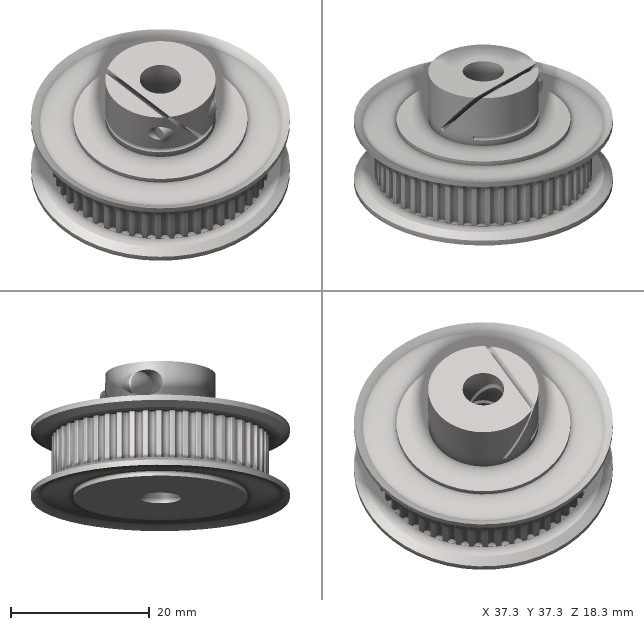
import cadquery as cq
import math

overall_height = 18.3
bore_radius = 3.0

flange_radius = 18.65
flange_flat_radius = 17.35
flange_height = 1.5
flange_sheet = 0.8
boss_radius = 12.55

belt_width = 7.45
tooth_count = 50
track_radius = 15.65
groove_depth = 0.75
groove_radius = 0.55
tooth_tip_fillet = 0.15
ledge_height = 0.07

hub_radius = 7.95

jaw_slot_bottom = 11.38
jaw_slot_height = 0.67
jaw_slot_angle = 30.0

split_width = 0.6
split_tilt = 50.0
split_top_y = -4.6
split_end_y = 1.1

screw_x = 5.8
screw_z = 15.18
screw_radius = 1.23
screw_tip_y = -5.45
screw_chamfer = 0.2
head_radius = 1.9
head_height = 2 * screw_radius
head_top_y = 4.05

pulley_height = 2 * flange_height + belt_width
hub_height = overall_height - pulley_height


def cylinder(radius, bottom, height):
    return cq.Workplane("XY").workplane(offset=bottom).circle(radius).extrude(height)


def make_flange():
    """Upper flange: a flat disc whose rim flares upward."""
    bottom = pulley_height - flange_height
    profile = [
        (0, bottom),
        (flange_flat_radius, bottom),
        (flange_radius, pulley_height - flange_sheet),
        (flange_radius, pulley_height),
        (flange_flat_radius, bottom + flange_sheet),
        (0, bottom + flange_sheet),
    ]
    return cq.Workplane("XZ").polyline(profile).close().revolve(360, (0, 0, 0), (0, 1, 0))


def make_grooves():
    """Round-bottomed belt grooves with rounded tooth tips, one centred on -Y."""
    mouth_half = groove_radius + tooth_tip_fillet
    tip = math.sqrt(track_radius**2 - mouth_half**2)
    fillet_end = tip - tooth_tip_fillet
    floor = track_radius - groove_depth
    arc_centre = floor + groove_radius
    clear = track_radius + tooth_tip_fillet
    fillet_mid_x = mouth_half - tooth_tip_fillet * math.sqrt(0.5)
    fillet_mid_y = fillet_end + tooth_tip_fillet * math.sqrt(0.5)
    groove = (
        cq.Workplane("XY")
        .workplane(offset=flange_height + ledge_height)
        .moveTo(-mouth_half, -clear)
        .lineTo(-mouth_half, -tip)
        .threePointArc((-fillet_mid_x, -fillet_mid_y), (-groove_radius, -fillet_end))
        .lineTo(-groove_radius, -arc_centre)
        .threePointArc((0, -floor), (groove_radius, -arc_centre))
        .lineTo(groove_radius, -fillet_end)
        .threePointArc((fillet_mid_x, -fillet_mid_y), (mouth_half, -tip))
        .lineTo(mouth_half, -clear)
        .close()
        .extrude(belt_width - ledge_height)
        .val()
    )
    grooves = []
    for index in range(tooth_count):
        turn = index * 360 / tooth_count
        grooves.append(groove.rotate(cq.Vector(0, 0, 0), cq.Vector(0, 0, 1), turn))
    return cq.Workplane(cq.Compound.makeCompound(grooves))


def make_jaw_slot():
    """Half-plane slot ending on a diameter of the hub."""
    reach = 2 * hub_radius
    return (
        cq.Workplane("XY")
        .box(2 * reach, reach, jaw_slot_height, centered=(True, False, False))
        .translate((0, -reach, jaw_slot_bottom))
        .rotate((0, 0, 0), (0, 0, 1), jaw_slot_angle)
    )


def make_split():
    """Oblique square-ended slot rising toward -Y and open at the top of the hub."""
    tilt = math.radians(split_tilt)
    run = split_end_y - split_top_y
    length = 2 * run / math.cos(tilt)
    end_z = overall_height - run * math.tan(tilt)
    return (
        cq.Workplane("XY")
        .box(2 * hub_radius, length, split_width, centered=(True, False, True))
        .translate((0, -length, 0))
        .rotate((0, 0, 0), (1, 0, 0), -split_tilt)
        .translate((0, split_end_y, end_z))
    )


def screw_cylinder(radius, start_y, end_y):
    """Cylinder on the screw axis, running from start_y toward +Y."""
    return (
        cq.Workplane("XZ", origin=(screw_x, start_y, screw_z))
        .circle(radius)
        .extrude(start_y - end_y)
    )


track = cylinder(track_radius, flange_height, belt_width).cut(make_grooves())
upper_flange = make_flange()
lower_flange = upper_flange.mirror("XY", (0, 0, pulley_height / 2))
boss = cylinder(boss_radius, 0, pulley_height)
pulley = track.union(upper_flange).union(lower_flange).union(boss)

hub = cylinder(hub_radius, pulley_height, hub_height)
bore = cylinder(bore_radius, 0, overall_height)
body = pulley.union(hub).cut(bore).cut(make_jaw_slot()).cut(make_split())

counterbore = screw_cylinder(head_radius, head_top_y, hub_radius)
tip_hole = screw_cylinder(screw_radius, -hub_radius, screw_tip_y + screw_chamfer)
shank = screw_cylinder(screw_radius, screw_tip_y, head_top_y)
shank = shank.faces("<Y").chamfer(screw_chamfer)
head = screw_cylinder(head_radius, head_top_y - head_height, head_top_y)
head = head.faces(">Y").chamfer(screw_chamfer)

result = body.cut(counterbore).cut(tip_hole).union(shank).union(head)